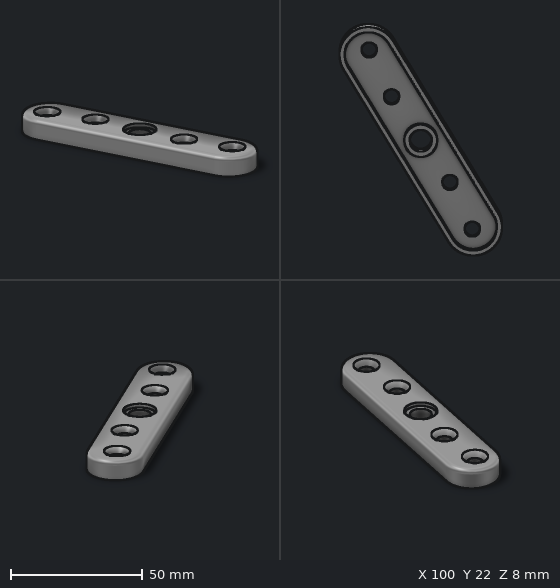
import cadquery as cq

length = 100.0
width = 22.0
thickness = 8.0
edge_radius = 2.0

rim_wall = 2.0
roof_thickness = 4.8
pocket_depth = thickness - roof_thickness

screw_diameter = 5.8
countersink_diameter = 10.0
countersink_angle = 82.0
screw_pitch = 20.0
screw_offset = 1.0
screw_places = [
    (-2 * screw_pitch, -screw_offset),
    (-screw_pitch, screw_offset),
    (screw_pitch, -screw_offset),
    (2 * screw_pitch, screw_offset),
]

bushing_diameter = 12.6
bushing_bore = 8.4
bushing_recess = 1.6
bushing_height = 5.3
bushing_base = thickness - bushing_recess - bushing_height


def make_plate():
    """Round-ended plate with a rounded top edge, an underside pocket, a bore and screw holes."""
    blank = cq.Workplane("XY").slot2D(length, width).extrude(thickness)
    rounded = blank.faces(">Z").edges().fillet(edge_radius)
    pocket = cq.Workplane("XY").slot2D(length - 2 * rim_wall, width - 2 * rim_wall).extrude(pocket_depth)
    hollow = rounded.cut(pocket)
    bored = hollow.faces(">Z").workplane(origin=(0, 0, thickness)).hole(bushing_diameter)
    return (
        bored.faces(">Z")
        .workplane(origin=(0, 0, thickness))
        .pushPoints(screw_places)
        .cskHole(screw_diameter, countersink_diameter, countersink_angle)
    )


def make_bushing():
    """Plain ring held in the roof and reaching down into the pocket."""
    return (
        cq.Workplane("XY", origin=(0, 0, bushing_base))
        .circle(bushing_diameter / 2)
        .circle(bushing_bore / 2)
        .extrude(bushing_height)
    )


plate = make_plate()
bushing = make_bushing()
result = cq.Compound.makeCompound([plate.solids().val(), bushing.val()])